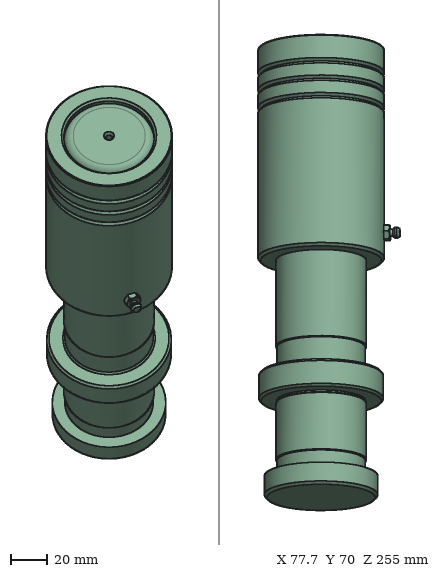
import cadquery as cq
import math

total_height = 255.0
foot_height = 12.2
post_bottom = 21.0
collar_bottom = 55.0
collar_height = 15.5
neck_height = 15.3
bushing_length = 120.0

bushing_radius = 35.0
post_radius = 25.0
neck_radius = 24.5
collar_radius = 34.5
foot_radius = 31.4

lower_edge_chamfer = 1.5
bore_chamfer = 1.3
bushing_top_chamfer = 0.5
collar_chamfer = 1.3
post_top_round = 5.0
collar_root_chamfer = 1.0
neck_step = post_radius - neck_radius
relief_height = 1.0

groove_count = 3
groove_pitch = 10.0
first_groove_depth = 14.8
groove_half_width = 1.5
groove_depth = 1.5

centre_hole_radius = 1.8
centre_hole_depth = 10.2
centre_hole_mouth_radius = 2.8
centre_hole_mouth_depth = 1.8

nipple_angle = -15.0
nipple_height = 150.0
hex_across_flats = 8.0
hex_length = 3.3
hex_chamfer = 0.65
shank_radius = 3.0
shank_length = 5.0
nipple_neck_radius = 2.0
nipple_neck_length = 1.5
nipple_head_radius = 3.0
nipple_head_cone = 1.3
nipple_head_land = 1.0
nipple_tip_radius = 2.3
nipple_tip_cone = 1.5


def revolve_profile(points):
    """Turn a closed (radius, height) outline around the Z axis."""
    return cq.Workplane("XZ").polyline(points).close().revolve(360, (0, 0, 0), (0, 1, 0))


def place_on_bushing(shape):
    """Lay a part built along +Z on the bushing wall, pointing radially outward."""
    return (
        shape.rotate((0, 0, 0), (0, 1, 0), 90)
        .translate((bushing_radius, 0, nipple_height))
        .rotate((0, 0, 0), (0, 0, 1), nipple_angle)
    )


def make_foot():
    """Flanged foot with a short neck that meets the underside of the post."""
    return revolve_profile([
        (0, 0),
        (foot_radius - lower_edge_chamfer, 0),
        (foot_radius, lower_edge_chamfer),
        (foot_radius, foot_height),
        (neck_radius, foot_height),
        (neck_radius, post_bottom),
        (0, post_bottom),
    ])


def make_post():
    """Guide post with its integral collar, rounded top and centre hole."""
    collar_top = collar_bottom + collar_height
    neck_top = collar_top + neck_height
    post = revolve_profile([
        (0, post_bottom),
        (neck_radius, post_bottom),
        (post_radius, post_bottom + neck_step),
        (post_radius, collar_bottom - relief_height - neck_step),
        (neck_radius, collar_bottom - relief_height),
        (neck_radius, collar_bottom),
        (collar_radius - collar_chamfer, collar_bottom),
        (collar_radius, collar_bottom + collar_chamfer),
        (collar_radius, collar_top - collar_chamfer),
        (collar_radius - collar_chamfer, collar_top),
        (neck_radius + collar_root_chamfer, collar_top),
        (neck_radius, collar_top + collar_root_chamfer),
        (neck_radius, neck_top - neck_step),
        (post_radius, neck_top),
        (post_radius, total_height),
        (0, total_height),
    ])
    post = post.faces(">Z").edges().fillet(post_top_round)
    return post.cut(make_centre_hole())


def make_centre_hole():
    """Drilled hole with a conical bottom and a countersunk mouth."""
    hole_floor = total_height - centre_hole_depth
    return revolve_profile([
        (0, hole_floor - centre_hole_radius),
        (centre_hole_radius, hole_floor),
        (centre_hole_radius, total_height - centre_hole_mouth_depth),
        (centre_hole_mouth_radius, total_height),
        (0, total_height),
    ])


def make_groove(height):
    """Ring with a triangular section, centred on the given height."""
    return revolve_profile([
        (bushing_radius, height - groove_half_width),
        (bushing_radius - groove_depth, height),
        (bushing_radius, height + groove_half_width),
    ])


def make_bushing():
    """Sleeve around the upper post, with chamfered ends, grooves and a nipple hole."""
    bushing_bottom = total_height - bushing_length
    bushing = revolve_profile([
        (post_radius, bushing_bottom),
        (bushing_radius - lower_edge_chamfer, bushing_bottom),
        (bushing_radius, bushing_bottom + lower_edge_chamfer),
        (bushing_radius, total_height - bushing_top_chamfer),
        (bushing_radius - bushing_top_chamfer, total_height),
        (post_radius + bore_chamfer, total_height),
        (post_radius, total_height - bore_chamfer),
    ])
    for index in range(groove_count):
        groove_height = total_height - first_groove_depth - index * groove_pitch
        bushing = bushing.cut(make_groove(groove_height))
    return bushing.cut(place_on_bushing(make_shank()))


def make_shank():
    """Threaded shank of the nipple, below its hexagon."""
    return cq.Workplane("XY").circle(shank_radius).extrude(-shank_length)


def make_nipple():
    """Grease nipple: shank, chamfered hexagon, neck and double-cone head."""
    across_corners = hex_across_flats / math.cos(math.radians(30))
    hexagon = cq.Workplane("XY").polygon(6, across_corners).extrude(hex_length)
    hexagon = hexagon.rotate((0, 0, 0), (0, 0, 1), 90)
    hex_blank = cq.Workplane("XY").circle(across_corners / 2).extrude(hex_length)
    hexagon = hexagon.intersect(hex_blank.faces(">Z").chamfer(hex_chamfer))

    cone_start = hex_length + nipple_neck_length
    land_start = cone_start + nipple_head_cone
    land_end = land_start + nipple_head_land
    head = revolve_profile([
        (0, hex_length),
        (nipple_neck_radius, hex_length),
        (nipple_neck_radius, cone_start),
        (nipple_head_radius, land_start),
        (nipple_head_radius, land_end),
        (nipple_tip_radius, land_end + nipple_tip_cone),
        (0, land_end + nipple_tip_cone),
    ])
    return place_on_bushing(make_shank().union(hexagon).union(head))


foot = make_foot()
post = make_post()
bushing = make_bushing()
nipple = make_nipple()

result = cq.Compound.makeCompound([foot.val(), post.val(), bushing.val(), nipple.val()])